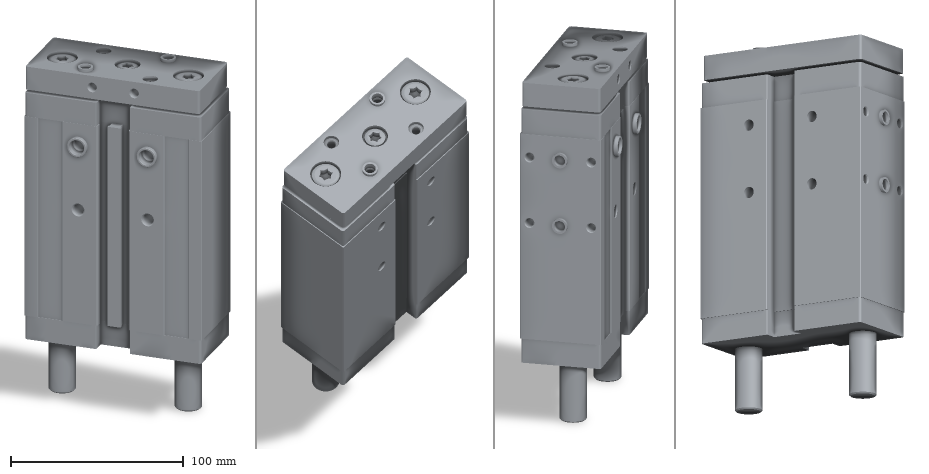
import cadquery as cq
import math


cap_height = 14.8
housing_height = 125.0
plate_gap = 1.9
plate_thickness = 14.4
guide_rod_overhang = 37.0

housing_bottom = cap_height
housing_top = housing_bottom + housing_height
cap_top = housing_top + cap_height
plate_bottom = cap_top + plate_gap
plate_top = plate_bottom + plate_thickness
plate_middle = plate_bottom + plate_thickness / 2

housing_width = 109.9
housing_depth = 48.7
housing_corner = 0.5
cap_inset = 0.5
cap_front_inset = 0.2
cap_width = housing_width - 2 * cap_inset
cap_depth = housing_depth - cap_inset - cap_front_inset
cap_offset_y = (cap_front_inset - cap_inset) / 2
plate_width = 107.8
plate_depth = 47.0
plate_offset_x = -0.5
plate_offset_y = -0.3
outer_corner = 1.5

guide_spacing = 78.0
guide_offset_y = -3.5
guide_diameter = 16.0
piston_diameter = 12.0
rod_end_chamfer = 0.8
rod_top_chamfer_width = 1.6
rod_top_chamfer_height = 0.5
guide_centers = [(-guide_spacing / 2, guide_offset_y), (guide_spacing / 2, guide_offset_y)]

guide_recess_diameter = 18.0
piston_recess_diameter = 15.0
recess_depth = 3.0
rod_end_setback = 0.7
guide_socket_diameter = 8.8
piston_socket_diameter = 8.0
socket_depth = 4.0
socket_lobes = 6
socket_valley_ratio = 0.72

front_channel_width = 19.2
cap_channel_widening = 0.7
front_channel_depth = 7.7
channel_edge_chamfer = 0.9
fine_edge_chamfer = 0.4
sensor_rib_width = 8.1
sensor_rib_setback = 2.0
sensor_slot_depth = 8.0
sensor_lip_thickness = 1.9
sensor_undercut = 0.7
back_channel_width = 18.4
back_channel_depth = front_channel_depth
face_groove_inner = 31.2
face_groove_width = 15.8
face_groove_depth = 0.6
face_groove_slope = 0.8

small_sleeve_outer = 9.0
small_sleeve_inner = 6.6
small_sleeve_protrusion = 1.9
small_sleeve_length = 4.0
small_seat_depth = small_sleeve_length - small_sleeve_protrusion
large_sleeve_outer = 12.0
large_sleeve_inner = 9.0
large_sleeve_protrusion = 2.6
large_sleeve_length = 5.2
large_sleeve_chamfer = 0.3
large_seat_depth = large_sleeve_length - large_sleeve_protrusion

hole_row_spacing = 40.0
upper_hole_z = housing_top - 14.0
lower_hole_z = upper_hole_z - hole_row_spacing
front_hole_x = 21.5
front_hole_diameter = 6.65
front_hole_mouth = 8.0
thread_diameter = 4.92
thread_mouth = 6.0
thread_depth = 10.0
drill_point_angle = 118.0
side_thread_y = 18.5
plate_hole_x = 20.0
plate_hole_y = 15.0
plate_holes_offset_y = -1.0
plate_front_hole_x = 13.0

left_face = -housing_width / 2
front_face = -housing_depth / 2
back_face = housing_depth / 2
plate_front_face = plate_offset_y - plate_depth / 2

TOWARD_PLUS_X = cq.Vector(1, 0, 0)
TOWARD_PLUS_Y = cq.Vector(0, 1, 0)
DOWNWARD = cq.Vector(0, 0, -1)


def box_between(x0, x1, y0, y1, z0, z1):
    corner = cq.Vector(x0, y0, z0)
    return cq.Workplane(cq.Solid.makeBox(x1 - x0, y1 - y0, z1 - z0, corner))


def cylinder(diameter, length, start, direction):
    return cq.Workplane(cq.Solid.makeCylinder(diameter / 2, length, cq.Vector(*start), direction))


def mouth_cone(hole_diameter, mouth_diameter, start, direction):
    """45 degree chamfer at the mouth of a hole."""
    depth = (mouth_diameter - hole_diameter) / 2
    cone = cq.Solid.makeCone(mouth_diameter / 2, hole_diameter / 2, depth, cq.Vector(*start), direction)
    return cq.Workplane(cone)


def threaded_hole(start, direction):
    """Blind threaded hole with a chamfered mouth and a drill point."""
    point_depth = thread_diameter / 2 / math.tan(math.radians(drill_point_angle / 2))
    point_start = cq.Vector(*start) + direction * thread_depth
    point = cq.Solid.makeCone(thread_diameter / 2, 0, point_depth, point_start, direction)
    bore = cylinder(thread_diameter, thread_depth, start, direction)
    return bore.union(cq.Workplane(point)).union(mouth_cone(thread_diameter, thread_mouth, start, direction))


def channel_cut(half_width, depth, edge_chamfer, face_y, z0, z1):
    """Lengthwise channel with chamfered edges, cut from the front (face_y < 0) or back face."""
    inward = -math.copysign(1, face_y)
    points = [
        (-half_width - edge_chamfer, face_y),
        (-half_width, face_y + inward * edge_chamfer),
        (-half_width, face_y + inward * depth),
        (half_width, face_y + inward * depth),
        (half_width, face_y + inward * edge_chamfer),
        (half_width + edge_chamfer, face_y),
    ]
    return cq.Workplane("XY", origin=(0, 0, z0)).polyline(points).close().extrude(z1 - z0)


def cut_guide_bores(body):
    for x, y in guide_centers:
        body = body.cut(cylinder(guide_diameter, cap_top, (x, y, cap_top), DOWNWARD))
    return body


def socket_cut(diameter, center, tip_angle):
    """Six-lobed drive socket, its outline made of arcs that dip inward between the tips."""
    tip_radius = diameter / 2
    valley_radius = tip_radius * socket_valley_ratio
    lobe_step = 360 / socket_lobes

    def point(radius, angle):
        return (radius * math.cos(math.radians(angle)), radius * math.sin(math.radians(angle)))

    z = plate_top - rod_end_setback
    outline = cq.Workplane("XY", origin=(center[0], center[1], z)).moveTo(*point(tip_radius, tip_angle))
    for lobe in range(socket_lobes):
        angle = tip_angle + lobe * lobe_step
        outline = outline.threePointArc(
            point(valley_radius, angle + lobe_step / 2), point(tip_radius, angle + lobe_step)
        )
    return outline.close().extrude(-socket_depth)


def sensor_slots(z0, z1):
    """Two undercut sensor slots, one on each side of the T-shaped rib in the front channel."""
    half_width = front_channel_width / 2
    half_rib = sensor_rib_width / 2
    rib_front = front_face + sensor_rib_setback
    undercut_front = rib_front + sensor_lip_thickness
    slot_floor = front_face + sensor_slot_depth

    slots = channel_cut(half_width, sensor_slot_depth, channel_edge_chamfer, front_face, z0, z1)
    slots = slots.union(box_between(-half_width - sensor_undercut, half_width + sensor_undercut,
                                    undercut_front, slot_floor, z0, z1))
    rib_head = box_between(-half_rib, half_rib, rib_front, undercut_front, z0, z1)
    half_neck = half_rib - sensor_undercut
    rib_neck = box_between(-half_neck, half_neck, undercut_front, slot_floor, z0, z1)
    return slots.cut(rib_head).cut(rib_neck)


def face_groove(side, z0, z1):
    """Shallow groove with sloped flanks along one half of the front face."""
    inner = face_groove_inner
    outer = face_groove_inner + face_groove_width
    groove_floor = front_face + face_groove_depth
    points = [
        (side * inner, front_face),
        (side * (inner + face_groove_slope), groove_floor),
        (side * (outer - face_groove_slope), groove_floor),
        (side * outer, front_face),
    ]
    return cq.Workplane("XY", origin=(0, 0, z0)).polyline(points).close().extrude(z1 - z0)


def make_housing():
    body = cq.Workplane("XY", origin=(0, 0, housing_bottom))
    body = body.rect(housing_width, housing_depth).extrude(housing_height).edges("|Z").chamfer(housing_corner)
    span = (housing_bottom, housing_top)

    body = body.cut(sensor_slots(*span))
    body = body.cut(channel_cut(back_channel_width / 2, back_channel_depth, fine_edge_chamfer,
                                back_face, *span))

    for side in (-1, 1):
        body = body.cut(face_groove(side, *span))

    for x in (-front_hole_x, front_hole_x):
        for z in (upper_hole_z, lower_hole_z):
            start = (x, front_face, z)
            body = body.cut(cylinder(front_hole_diameter, housing_depth, start, TOWARD_PLUS_Y))
        seat_start = (x, front_face, upper_hole_z)
        body = body.cut(cylinder(large_sleeve_outer, large_seat_depth, seat_start, TOWARD_PLUS_Y))
        seat_floor = (x, front_face + large_seat_depth, upper_hole_z)
        for start in (seat_floor, (x, front_face, lower_hole_z)):
            body = body.cut(mouth_cone(front_hole_diameter, front_hole_mouth, start, TOWARD_PLUS_Y))

    for z in (upper_hole_z, lower_hole_z):
        body = body.cut(cylinder(small_sleeve_outer, small_seat_depth, (left_face, 0, z), TOWARD_PLUS_X))
        for y in (-side_thread_y, side_thread_y):
            body = body.cut(threaded_hole((left_face, y, z), TOWARD_PLUS_X))
    return cut_guide_bores(body)


def make_cap(bottom):
    cap = cq.Workplane("XY", origin=(0, cap_offset_y, bottom)).rect(cap_width, cap_depth).extrude(cap_height)
    cap = cap.edges("|Z").fillet(outer_corner)
    span = (bottom, bottom + cap_height)
    cap = cap.cut(channel_cut(front_channel_width / 2 + cap_channel_widening, front_channel_depth,
                              fine_edge_chamfer, front_face + cap_front_inset, *span))
    cap = cap.cut(channel_cut(back_channel_width / 2, back_channel_depth, fine_edge_chamfer,
                              back_face - cap_inset, *span))
    return cut_guide_bores(cap)


def make_bottom_cap():
    return make_cap(0)


def make_top_cap():
    return make_cap(housing_top).cut(cylinder(piston_diameter, cap_height, (0, 0, cap_top), DOWNWARD))


def make_rod(diameter, center, bottom):
    end_z = plate_top - rod_end_setback
    rod = cylinder(diameter, end_z - bottom, (*center, end_z), DOWNWARD)
    rod = rod.edges(">Z").chamfer(rod_top_chamfer_height, rod_top_chamfer_width)
    return rod.edges("<Z").chamfer(rod_end_chamfer)


def make_slide():
    plate = cq.Workplane("XY", origin=(plate_offset_x, plate_offset_y, plate_bottom))
    slide = plate.rect(plate_width, plate_depth).extrude(plate_thickness).edges("|Z").fillet(outer_corner)

    for center in guide_centers:
        slide = slide.cut(cylinder(guide_recess_diameter, recess_depth, (*center, plate_top), DOWNWARD))
        slide = slide.union(make_rod(guide_diameter, center, -guide_rod_overhang))
        slide = slide.cut(socket_cut(guide_socket_diameter, center, 90))
    slide = slide.cut(cylinder(piston_recess_diameter, recess_depth, (0, 0, plate_top), DOWNWARD))
    slide = slide.union(make_rod(piston_diameter, (0, 0), housing_top))
    slide = slide.cut(socket_cut(piston_socket_diameter, (0, 0), 0))

    for x in (-plate_hole_x, plate_hole_x):
        for y in (plate_holes_offset_y - plate_hole_y, plate_holes_offset_y + plate_hole_y):
            start = (x, y, plate_top)
            seat_floor = (x, y, plate_top - small_seat_depth)
            slide = slide.cut(cylinder(small_sleeve_outer, small_seat_depth, start, DOWNWARD))
            slide = slide.cut(cylinder(thread_diameter, plate_thickness, start, DOWNWARD))
            slide = slide.cut(mouth_cone(thread_diameter, thread_mouth, seat_floor, DOWNWARD))

    for x in (-plate_front_hole_x, plate_front_hole_x):
        slide = slide.cut(threaded_hole((x, plate_front_face, plate_middle), TOWARD_PLUS_Y))
    return slide


def make_sleeve(outer, inner, length, protrusion, face_point, direction):
    start = cq.Vector(*face_point) - direction * protrusion
    sleeve = cylinder(outer, length, start.toTuple(), direction)
    return sleeve.cut(cylinder(inner, length, start.toTuple(), direction))


def make_small_sleeves():
    places = [
        ((-plate_hole_x, plate_holes_offset_y - plate_hole_y, plate_top), DOWNWARD),
        ((plate_hole_x, plate_holes_offset_y + plate_hole_y, plate_top), DOWNWARD),
        ((left_face, 0, upper_hole_z), TOWARD_PLUS_X),
        ((left_face, 0, lower_hole_z), TOWARD_PLUS_X),
    ]
    return [
        make_sleeve(small_sleeve_outer, small_sleeve_inner, small_sleeve_length,
                    small_sleeve_protrusion, point, direction)
        for point, direction in places
    ]


def make_large_sleeves():
    sleeves = []
    for x in (-front_hole_x, front_hole_x):
        sleeve = make_sleeve(large_sleeve_outer, large_sleeve_inner, large_sleeve_length,
                             large_sleeve_protrusion, (x, front_face, upper_hole_z), TOWARD_PLUS_Y)
        sleeves.append(sleeve.faces("<Y").edges().chamfer(large_sleeve_chamfer))
    return sleeves


housing = make_housing()
bottom_cap = make_bottom_cap()
top_cap = make_top_cap()
slide = make_slide()
small_sleeves = make_small_sleeves()
large_sleeves = make_large_sleeves()

result = cq.Compound.makeCompound([
    housing.val(),
    bottom_cap.val(),
    top_cap.val(),
    slide.val(),
    *[sleeve.val() for sleeve in small_sleeves],
    *[sleeve.val() for sleeve in large_sleeves],
])